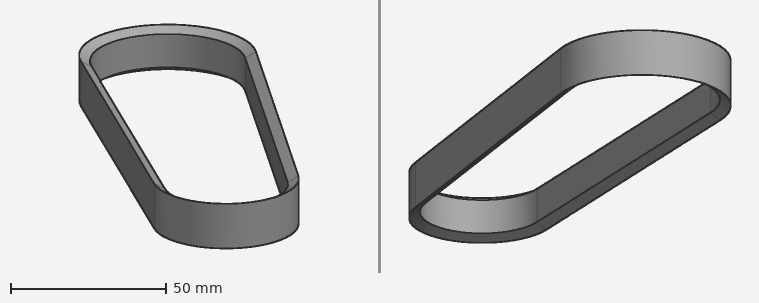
import cadquery as cq
import math

LARGE_RADIUS = 28.55
SMALL_RADIUS = 23.51
SMALL_CENTER_X = 94.89
SMALL_CENTER_Y = -67.38
OUTER_WIDTH = 15.42
THICKNESS = 3.5
FLANK_ANGLE = 30.0

FLANK_DROP = THICKNESS * math.tan(math.radians(FLANK_ANGLE))

CENTER_DISTANCE = math.hypot(SMALL_CENTER_X, SMALL_CENTER_Y)
CENTERLINE_ANGLE = math.atan2(SMALL_CENTER_Y, SMALL_CENTER_X)
TANGENT_ANGLE = math.acos((LARGE_RADIUS - SMALL_RADIUS) / CENTER_DISTANCE)
UPPER_ANGLE = CENTERLINE_ANGLE + TANGENT_ANGLE
LOWER_ANGLE = CENTERLINE_ANGLE - TANGENT_ANGLE


def large_point(angle):
    """Point on the outer face around the large pulley."""
    return (LARGE_RADIUS * math.cos(angle), LARGE_RADIUS * math.sin(angle))


def small_point(angle):
    """Point on the outer face around the small pulley."""
    return (
        SMALL_CENTER_X + SMALL_RADIUS * math.cos(angle),
        SMALL_CENTER_Y + SMALL_RADIUS * math.sin(angle),
    )


def belt_path():
    """Outer belt loop at Z = 0: two arcs joined by their outer tangents."""
    return (
        cq.Workplane("XY")
        .moveTo(*large_point(UPPER_ANGLE))
        .lineTo(*small_point(UPPER_ANGLE))
        .threePointArc(small_point(CENTERLINE_ANGLE), small_point(LOWER_ANGLE))
        .lineTo(*large_point(LOWER_ANGLE))
        .threePointArc(large_point(CENTERLINE_ANGLE + math.pi), large_point(UPPER_ANGLE))
        .close()
    )


def belt_section():
    """Trapezoid across the belt at the path start, widest on the outer face."""
    start_x, start_y = large_point(UPPER_ANGLE)
    section_plane = cq.Plane(
        origin=(start_x, start_y, 0),
        xDir=(-math.cos(UPPER_ANGLE), -math.sin(UPPER_ANGLE), 0),
        normal=(-math.sin(UPPER_ANGLE), math.cos(UPPER_ANGLE), 0),
    )
    half_width = OUTER_WIDTH / 2
    inner_half_width = half_width - FLANK_DROP
    return cq.Workplane(section_plane).polyline([
        (0, -half_width),
        (THICKNESS, -inner_half_width),
        (THICKNESS, inner_half_width),
        (0, half_width),
    ]).close()


result = belt_section().sweep(belt_path())